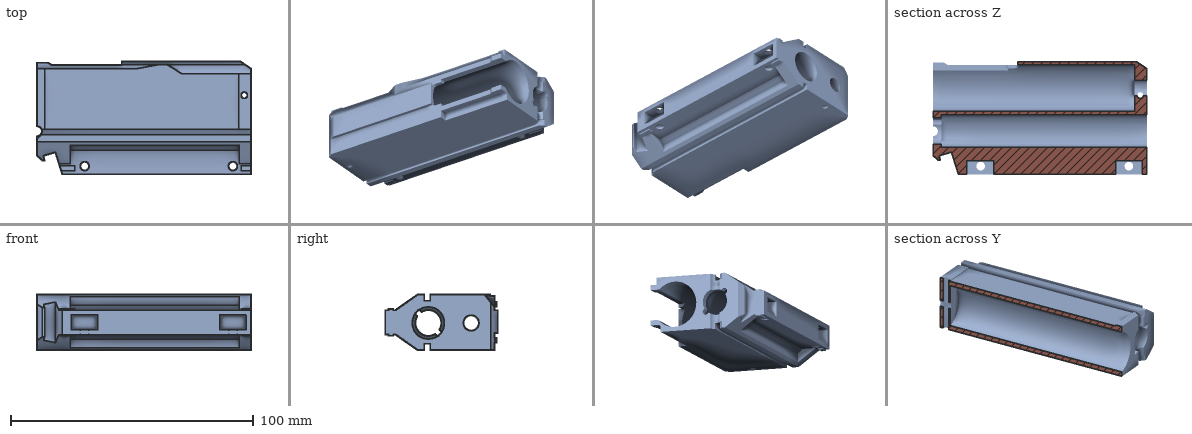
import cadquery as cq

length = 88.5
half_height = 11.5
body_depth = 45.2
plate_depth = 46.6
margin = 0.9

rail_half_height = 5.05
cone_start_y = 4.25
cone_end_y = 13.45
rail_pad_half_height = 5.6
rail_pad_y = (1.4, 3.45)
rail_pad_left_end = 15.6
rail_pad_right_start = 84.4
rail_holes_x = (19.7, 81.0)
rail_hole_y = 3.4
rail_hole_diameter = 3.5
rail_pockets_x = ((14.2, 25.1), (75.6, 86.5))
rail_pocket_half_height = 3.1
rail_pocket_depth = 5.5
rail_pocket_corner = 0.5

hook_mouth_x = 10.4
hook_root = (7.6, 9.0)
hook_throat = (2.7, 7.6)
hook_tip_x = (2.3, 3.2)
hook_tip_y = 5.7
hook_shoulder_y = 7.7

relief_x = (13.8, 83.6)
relief_wall_y = 12.0
relief_chamfer = 2.0

slot_y = (16.3, 18.6)
slot_depth = 2.6
slot_lead_in_x = 1.8
slot_lead_in_y = 14.8
notch_y = 17.8
notch_diameter = 4.1
bore_axis_z = -0.3
keyed_hole_y = 17.9
keyed_hole_diameter = 10.6
keyed_wall = 3.5
locking_bore_diameter = 13.3
key_width = 2.5
key_tip_radius = 7.0
key_corner_diameter = 2.0
key_angles = (45, 225)

bore_y = 35.6
bore_diameter = 19.0
bore_depth = 83.4
end_hole_diameter = 6.3
pin_x = 85.7
pin_y = 32.7
pin_diameter = 2.5

recess_x = (3.2, bore_depth)
recess_depth = 0.5
recess_floor_z = half_height - recess_depth

plate_start_x = 35.0
plate_z = (-4.4, rail_half_height)
rear_chamfer_x = 4.4
rear_chamfer_y = 3.0
lip_depth = 46.1
lip_z = (6.4, 8.5)
lip_end_x = 4.6
lip_ramp_end_x = 6.1
opening_end_x = 31
window_half_height = rail_half_height
step_corner_radius = 1.1
window_corner_radius = 1.2
top_step_y = 43.5
top_step_ramp_x = (40.8, 50.0)
slope_end_x = (54, 59.9)
slope_y = 41.5
slope_bottom_z = 6.4
bottom_step_y = 41.8


def box(x_range, y_range, z_range):
    """Box spanning the given (low, high) ranges."""
    sizes = [high - low for low, high in (x_range, y_range, z_range)]
    corner = (x_range[0], y_range[0], z_range[0])
    return cq.Workplane("XY").box(*sizes, centered=False).translate(corner)


def plan_prism(points, z_low, z_high):
    """Prism with an XY outline between two heights."""
    return cq.Workplane("XY").workplane(offset=z_low).polyline(points).close().extrude(z_high - z_low)


def side_prism(points, x_low, x_high):
    """Prism with a YZ outline between two stations along X."""
    return cq.Workplane("YZ").workplane(offset=x_low).polyline(points).close().extrude(x_high - x_low)


def x_cylinder(y, z, diameter, x_low, x_high):
    return cq.Workplane("YZ").workplane(offset=x_low).center(y, z).circle(diameter / 2).extrude(x_high - x_low)


def z_cylinder(x, y, diameter):
    height = 2 * (half_height + margin)
    return cq.Workplane("XY").center(x, y).circle(diameter / 2).extrude(height / 2, both=True)


def both_sides(solid):
    """The solid together with its mirror image below the middle plane."""
    return solid.union(solid.mirror("XY"))


def make_body():
    upper_outline = [
        (0, 0),
        (0, rail_half_height),
        (cone_start_y, rail_half_height),
        (cone_end_y, half_height),
        (body_depth, half_height),
        (body_depth, 0),
    ]
    body = both_sides(side_prism(upper_outline, 0, length))
    for pad_x in ((0, rail_pad_left_end), (rail_pad_right_start, length)):
        body = body.union(box(pad_x, rail_pad_y, (-rail_pad_half_height, rail_pad_half_height)))
    plate = box((plate_start_x, length), (body_depth - margin, plate_depth), plate_z)
    lip_outline = [
        (0, body_depth - margin),
        (0, lip_depth),
        (lip_end_x, lip_depth),
        (lip_ramp_end_x, body_depth),
        (lip_ramp_end_x, body_depth - margin),
    ]
    return body.union(plate).union(both_sides(plan_prism(lip_outline, *lip_z)))


def cut_rail(body):
    """Cross holes and nut pockets of the rail, and the relief along the cone."""
    for hole_x in rail_holes_x:
        body = body.cut(z_cylinder(hole_x, rail_hole_y, rail_hole_diameter))
    left_pocket, right_pocket = [
        box(span, (-margin, rail_pocket_depth), (-rail_pocket_half_height, rail_pocket_half_height))
        for span in rail_pockets_x
    ]
    body = body.cut(left_pocket).cut(right_pocket.edges("|Y and >X").fillet(rail_pocket_corner))
    relief_outline = [
        (cone_start_y, rail_half_height),
        (relief_wall_y - relief_chamfer, rail_half_height),
        (relief_wall_y, rail_half_height + relief_chamfer),
        (relief_wall_y, half_height),
        (cone_start_y, half_height),
    ]
    return body.cut(both_sides(side_prism(relief_outline, *relief_x)))


def cut_hook(body):
    """Hook-shaped opening at the left end of the rail."""
    hook_outline = [
        (-margin, 0),
        (hook_mouth_x, 0),
        hook_root,
        hook_throat,
        (hook_tip_x[1], hook_tip_y),
        (hook_tip_x[0], hook_tip_y),
        (0, hook_shoulder_y),
        (-margin, hook_shoulder_y),
    ]
    return body.cut(plan_prism(hook_outline, -half_height, half_height))


def cut_slots(body):
    """Long slots in the top and bottom faces with a slanted lead-in, and the round end notch."""
    slot_z = (half_height - slot_depth, half_height + margin)
    slot = box((-margin, length + margin), slot_y, slot_z)
    lead_in = plan_prism([(0, slot_lead_in_y), (slot_lead_in_x, slot_y[0]), (0, slot_y[0])], *slot_z)
    return body.cut(both_sides(slot.union(lead_in))).cut(z_cylinder(0, notch_y, notch_diameter))


def cut_bores(body):
    """Main bore with its end hole and pin, and the keyed hole opening into the locking bore."""
    body = body.cut(x_cylinder(bore_y, bore_axis_z, bore_diameter, -margin, bore_depth))
    body = body.cut(x_cylinder(bore_y, bore_axis_z, end_hole_diameter, 0, length + margin))
    body = body.cut(z_cylinder(pin_x, pin_y, pin_diameter))
    body = body.cut(x_cylinder(keyed_hole_y, bore_axis_z, keyed_hole_diameter, -margin, keyed_wall))
    body = body.cut(x_cylinder(keyed_hole_y, bore_axis_z, locking_bore_diameter, keyed_wall, length + margin))
    half_key = key_width / 2
    for angle in key_angles:
        key = box((-margin, keyed_wall), (0, key_tip_radius), (-half_key, half_key))
        key = key.edges("|X and >Y").fillet(key_corner_diameter / 2)
        key = key.rotate((0, 0, 0), (1, 0, 0), angle + 90)
        body = body.cut(key.translate((0, keyed_hole_y, bore_axis_z)))
    return body


def cut_top(body):
    """Shallow top recess, stepped rear left edge and sloped rear right edge."""
    body = body.cut(box(recess_x, (slot_y[1], plate_depth), (recess_floor_z, half_height + margin)))
    top_step = [
        (-margin, top_step_y),
        (top_step_ramp_x[0], top_step_y),
        (top_step_ramp_x[1], body_depth),
        (top_step_ramp_x[1], plate_depth),
        (-margin, plate_depth),
    ]
    body = body.cut(plan_prism(top_step, lip_z[1], half_height + margin))
    above_slope = side_prism(
        [
            (slope_y, recess_floor_z),
            (body_depth, slope_bottom_z),
            (plate_depth, slope_bottom_z),
            (plate_depth, half_height + margin),
            (slope_y, half_height + margin),
        ],
        0,
        length + margin,
    )
    slope_outline = [
        (slope_end_x[0], body_depth),
        (slope_end_x[1], slope_y),
        (length + margin, slope_y),
        (length + margin, plate_depth),
        (slope_end_x[0], plate_depth),
    ]
    return body.cut(plan_prism(slope_outline, 0, half_height + margin).intersect(above_slope))


def cut_rear(body):
    """Side opening into the bore, its narrower window, the lower step and the corner chamfer."""
    opening_y = (bore_y, plate_depth)
    body = body.cut(box((-margin, opening_end_x), opening_y, (-lip_z[0], lip_z[0])))
    window = box((0, plate_start_x), opening_y, (-window_half_height, window_half_height))
    body = body.cut(window.edges("|Y and >X").fillet(window_corner_radius))
    step = box((-margin, opening_end_x), (bottom_step_y, plate_depth), (-half_height - margin, -lip_z[1]))
    body = body.cut(step.edges("|X and <Y and >Z").fillet(step_corner_radius))
    corner = [
        (length - rear_chamfer_x, plate_depth),
        (length, plate_depth - rear_chamfer_y),
        (length, plate_depth),
    ]
    return body.cut(plan_prism(corner, -half_height, half_height))


result = make_body()
for cut_feature in (cut_rail, cut_hook, cut_slots, cut_bores, cut_top, cut_rear):
    result = cut_feature(result)